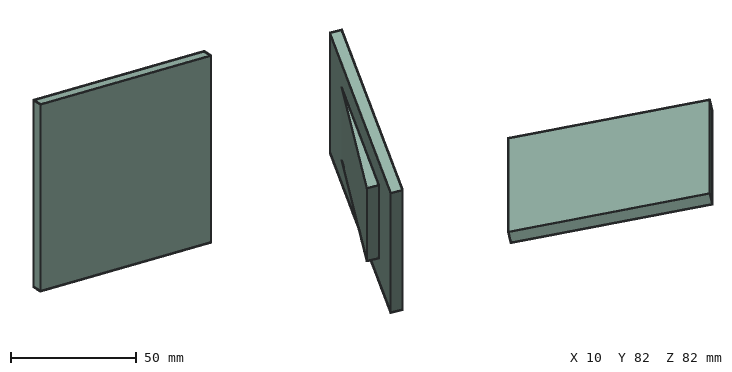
import cadquery as cq

plate_side = 82.0
plate_thickness = 5.0
rocker_side = 50.0
rocker_rise = 5.0


def make_plate():
    return cq.Workplane("XY").box(
        plate_thickness, plate_side, plate_side, centered=(False, True, True)
    )


def make_rocker():
    half_side = rocker_side / 2
    profile = [(0, half_side), (-rocker_rise, -half_side), (0, -half_side)]
    return (
        cq.Workplane("XY")
        .polyline(profile)
        .close()
        .extrude(half_side, both=True)
    )


result = make_plate().union(make_rocker())